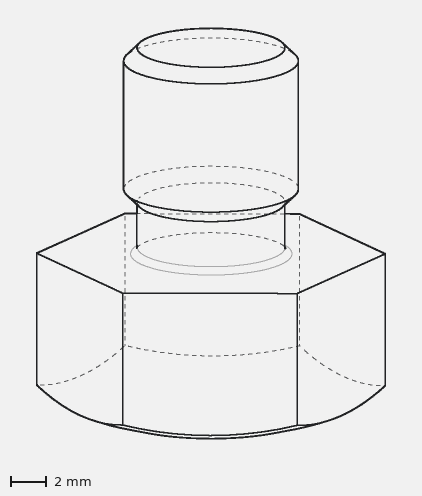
import cadquery as cq
import math

side_count = 6
half_sector = 180 / side_count
across_flats = 17.0
across_corners = across_flats / math.cos(math.radians(half_sector))
head_height = 10.0
dome_radius = 22.0

stud_length = 12.0
stud_diameter = 9.85
neck_diameter = 8.33
neck_length = 3.0
neck_fillet = 0.38

stud_radius = stud_diameter / 2
neck_radius = neck_diameter / 2
chamfer = stud_radius - neck_radius


def make_head():
    """Hexagonal prism with its flat top face at Z = 0 and a spherical bottom."""
    prism = (
        cq.Workplane("XY")
        .workplane(offset=-head_height)
        .polygon(side_count, across_corners)
        .extrude(head_height)
        .rotate((0, 0, 0), (0, 0, 1), half_sector)
    )
    dome = cq.Workplane("XY").sphere(dome_radius).translate((0, 0, dome_radius - head_height))
    return prism.intersect(dome)


def make_stud():
    """Turned stud with a relief neck, a filleted root and a chamfered tip."""
    fillet_mid_offset = neck_fillet * (1 - math.cos(math.radians(45)))
    profile = (
        cq.Workplane("XZ")
        .lineTo(neck_radius + neck_fillet, 0)
        .threePointArc(
            (neck_radius + fillet_mid_offset, fillet_mid_offset),
            (neck_radius, neck_fillet),
        )
        .lineTo(neck_radius, neck_length)
        .lineTo(stud_radius, neck_length + chamfer)
        .lineTo(stud_radius, stud_length - chamfer)
        .lineTo(neck_radius, stud_length)
        .lineTo(0, stud_length)
        .close()
    )
    return profile.revolve(360, (0, 0, 0), (0, 1, 0))


result = make_head().union(make_stud())